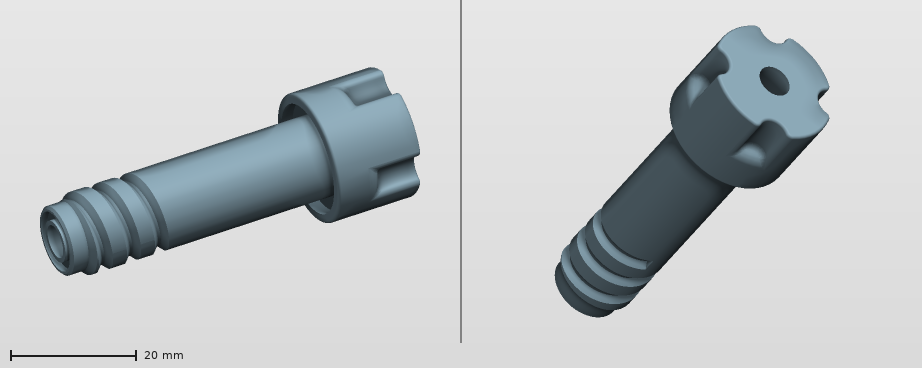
import cadquery as cq
import math

TOTAL_LENGTH = 60.0
HEAD_LENGTH = 15.0
HEAD_START = TOTAL_LENGTH - HEAD_LENGTH
HEAD_RADIUS = 21.6 / 2
HEAD_EDGE_ROUND = 0.5
UNDERCUT_RADIUS = 18.4 / 2
UNDERCUT_DEPTH = 2.0

SHANK_RADIUS = 13.6 / 2
NOSE_RADIUS = 11.6 / 2
NOSE_LENGTH = 3.0
NOSE_CHAMFER = 0.4
BORE_RADIUS = 5.5 / 2

TIP_RECESS_OUTER_RADIUS = 10.0 / 2
TIP_RECESS_INNER_RADIUS = 7.0 / 2
TIP_RECESS_DEPTH = 1.2

GROOVE_PITCH = 5.0
GROOVE_ROOT_RADIUS = NOSE_RADIUS
GROOVE_ROOT_WIDTH = 0.5
GROOVE_START_HEIGHT = 2.75
GROOVE_START_ANGLE = 163.0
GROOVE_SWEEP_ANGLE = 1024.0
GROOVE_OVERCUT = 0.5

FLUTE_COUNT = 4
FLUTE_LENGTH = 9.4
FLUTE_MOUTH_HALF_WIDTH = 3.54
FLUTE_FLOOR_ROUND = 2.5
FLUTE_SIDE_ROUND = 1.0
FLUTE_END_ROUND = 2.25
FLUTE_END_FLOOR_ROUND = 0.9
FLUTE_CLEARANCE = 1.0


def turned_body():
    shoulder_end = NOSE_LENGTH + SHANK_RADIUS - NOSE_RADIUS
    return (
        cq.Workplane("XZ")
        .moveTo(0, 0)
        .lineTo(NOSE_RADIUS - NOSE_CHAMFER, 0)
        .lineTo(NOSE_RADIUS, NOSE_CHAMFER)
        .lineTo(NOSE_RADIUS, NOSE_LENGTH)
        .lineTo(SHANK_RADIUS, shoulder_end)
        .lineTo(SHANK_RADIUS, TOTAL_LENGTH)
        .lineTo(0, TOTAL_LENGTH)
        .close()
        .revolve(360, (0, 0), (0, 1))
    )


def flute_section():
    """Flute cross-section, swept along the head and centred on the +X side."""
    mouth_angle = math.asin(FLUTE_MOUTH_HALF_WIDTH / HEAD_RADIUS)
    mouth_x = HEAD_RADIUS * math.cos(mouth_angle)
    round_center_radius = HEAD_RADIUS - FLUTE_SIDE_ROUND
    round_x = round_center_radius * math.cos(mouth_angle)
    round_y = round_center_radius * math.sin(mouth_angle)
    center_gap = FLUTE_FLOOR_ROUND + FLUTE_SIDE_ROUND
    floor_center_x = round_x + math.sqrt(center_gap**2 - round_y**2)
    floor_x = floor_center_x - FLUTE_FLOOR_ROUND

    blend = FLUTE_SIDE_ROUND / center_gap
    blend_x = round_x + blend * (floor_center_x - round_x)
    blend_y = round_y * (1 - blend)

    blend_direction = math.atan2(blend_y - round_y, blend_x - round_x)
    middle = (mouth_angle + blend_direction) / 2
    middle_x = round_x + FLUTE_SIDE_ROUND * math.cos(middle)
    middle_y = round_y + FLUTE_SIDE_ROUND * math.sin(middle)
    outside_x = HEAD_RADIUS + FLUTE_CLEARANCE
    return (
        cq.Workplane("XY")
        .workplane(offset=TOTAL_LENGTH - FLUTE_LENGTH)
        .moveTo(outside_x, -FLUTE_MOUTH_HALF_WIDTH)
        .lineTo(mouth_x, -FLUTE_MOUTH_HALF_WIDTH)
        .threePointArc((middle_x, -middle_y), (blend_x, -blend_y))
        .threePointArc((floor_x, 0), (blend_x, blend_y))
        .threePointArc((middle_x, middle_y), (mouth_x, FLUTE_MOUTH_HALF_WIDTH))
        .lineTo(outside_x, FLUTE_MOUTH_HALF_WIDTH)
        .close()
        .extrude(FLUTE_LENGTH)
    )


def flute_end_envelope():
    """Solid of revolution whose lower face is the rounded-over inner end of every flute."""
    start_z = TOTAL_LENGTH - FLUTE_LENGTH
    wall_z = start_z + FLUTE_END_ROUND
    wall_radius = HEAD_RADIUS - FLUTE_END_ROUND
    outside = HEAD_RADIUS + FLUTE_CLEARANCE
    return (
        cq.Workplane("XZ")
        .moveTo(outside, start_z)
        .lineTo(HEAD_RADIUS, start_z)
        .radiusArc((wall_radius, wall_z), -FLUTE_END_ROUND)
        .lineTo(0, wall_z)
        .lineTo(0, TOTAL_LENGTH)
        .lineTo(outside, TOTAL_LENGTH)
        .close()
        .revolve(360, (0, 0), (0, 1))
    )


def flute_tool():
    """One complete flute, with the corner between its floor and its inner end rounded."""
    flute = flute_section().intersect(flute_end_envelope())
    return flute.edges("<X").fillet(FLUTE_END_FLOOR_ROUND)


def fluted_head():
    head = cq.Workplane("XY").workplane(offset=HEAD_START).circle(HEAD_RADIUS).extrude(HEAD_LENGTH)
    flute = flute_tool()
    for index in range(FLUTE_COUNT):
        head = head.cut(flute.rotate((0, 0, 0), (0, 0, 1), index * 360 / FLUTE_COUNT))
    return head.faces("<Z or >Z").edges().fillet(HEAD_EDGE_ROUND)


def helical_groove():
    depth = SHANK_RADIUS + GROOVE_OVERCUT - GROOVE_ROOT_RADIUS
    root_half = GROOVE_ROOT_WIDTH / 2
    mouth_half = root_half + depth
    groove_length = GROOVE_PITCH * GROOVE_SWEEP_ANGLE / 360
    helix = cq.Wire.makeHelix(GROOVE_PITCH, groove_length, GROOVE_ROOT_RADIUS)
    groove = (
        cq.Workplane("XZ")
        .moveTo(GROOVE_ROOT_RADIUS, -root_half)
        .lineTo(GROOVE_ROOT_RADIUS + depth, -mouth_half)
        .lineTo(GROOVE_ROOT_RADIUS + depth, mouth_half)
        .lineTo(GROOVE_ROOT_RADIUS, root_half)
        .close()
        .sweep(cq.Workplane(obj=helix), isFrenet=True)
    )
    groove = groove.rotate((0, 0, 0), (0, 0, 1), GROOVE_START_ANGLE).translate((0, 0, GROOVE_START_HEIGHT))
    return groove.cut(cq.Workplane("XY").circle(HEAD_RADIUS).extrude(NOSE_LENGTH))


def ring(outer, inner, start, length):
    return cq.Workplane("XY").workplane(offset=start).circle(outer).circle(inner).extrude(length)


body = turned_body().union(fluted_head())
body = body.cut(ring(UNDERCUT_RADIUS, SHANK_RADIUS, HEAD_START, UNDERCUT_DEPTH))
body = body.cut(helical_groove())
body = body.cut(ring(TIP_RECESS_OUTER_RADIUS, TIP_RECESS_INNER_RADIUS, 0, TIP_RECESS_DEPTH))
body = body.cut(cq.Workplane("XY").circle(BORE_RADIUS).extrude(TOTAL_LENGTH))
result = body.rotate((0, 0, 0), (1, 0, 0), -90)